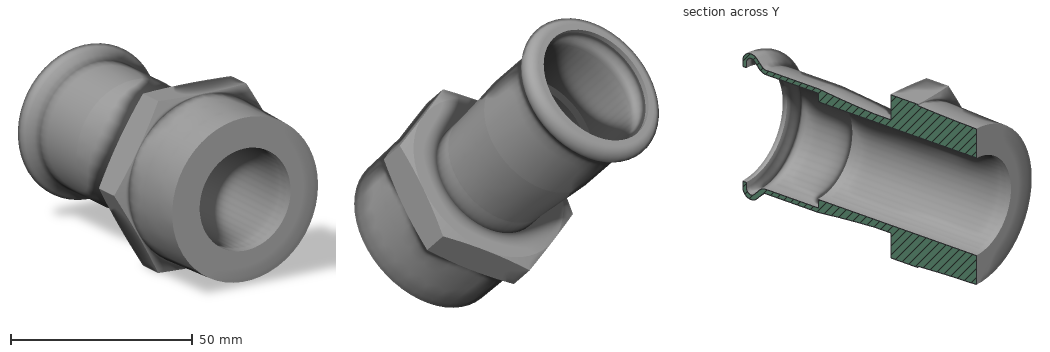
import cadquery as cq
import math

total_length = 84.0
socket_end = 27.1
neck_start = 47.1
hex_start = 53.1
hex_end = 63.0

socket_radius = 38.0 / 2
neck_radius = 34.8 / 2
bore_radius = 14.9
wall = 1.5
socket_bore_radius = socket_radius - wall
thread_root_radius = 24.6
thread_tip_radius = 23.85

rim_radius = 22.35
rim_roll_radius = 3.0
rim_bend_radius = 1.8

across_flats = 50.0
across_corners = across_flats / math.cos(math.radians(30))
chamfer_angle = 15.0

SLOPE = math.sin(math.radians(45))
HALF_SLOPE_SIN = math.sin(math.radians(22.5))
HALF_SLOPE_COS = math.cos(math.radians(22.5))

roll_x = rim_roll_radius
roll_r = rim_radius - rim_roll_radius
bend_r = socket_radius + rim_bend_radius
bend_x = roll_x + roll_r - bend_r + (rim_roll_radius + rim_bend_radius) / SLOPE


def revolve_about_x(profile):
    return profile.close().revolve(360, (0, 0, 0), (1, 0, 0))


def add_rim_curve(profile, roll_radius, bend_radius):
    """Roll over the rim from its front, slope down and bend into the socket."""
    return (
        profile
        .threePointArc(
            (roll_x - roll_radius * HALF_SLOPE_SIN, roll_r + roll_radius * HALF_SLOPE_COS),
            (roll_x + roll_radius * SLOPE, roll_r + roll_radius * SLOPE),
        )
        .lineTo(bend_x - bend_radius * SLOPE, bend_r - bend_radius * SLOPE)
        .threePointArc(
            (bend_x - bend_radius * HALF_SLOPE_SIN, bend_r - bend_radius * HALF_SLOPE_COS),
            (bend_x, bend_r - bend_radius),
        )
    )


def make_body():
    """Outside of the fitting, solid down to the axis."""
    profile = cq.Workplane("XY").lineTo(0, roll_r)
    profile = add_rim_curve(profile, rim_roll_radius, rim_bend_radius)
    profile = (
        profile
        .lineTo(socket_end, socket_radius)
        .lineTo(neck_start, neck_radius)
        .lineTo(hex_end, neck_radius)
        .lineTo(hex_end, thread_root_radius)
        .lineTo(total_length, thread_tip_radius)
        .lineTo(total_length, 0)
    )
    return revolve_about_x(profile)


def make_hexagon():
    """Hexagon with corners on Y, its corners chamfered on both faces."""
    width = hex_end - hex_start
    prism = (
        cq.Workplane("YZ", origin=(hex_start, 0, 0))
        .polygon(6, across_corners)
        .extrude(width)
    )
    face_radius = across_flats / 2
    peak_radius = face_radius + width / 2 / math.tan(math.radians(chamfer_angle))
    envelope = revolve_about_x(
        cq.Workplane("XY")
        .moveTo(hex_start, 0)
        .lineTo(hex_start, face_radius)
        .lineTo(hex_start + width / 2, peak_radius)
        .lineTo(hex_end, face_radius)
        .lineTo(hex_end, 0)
    )
    return prism.intersect(envelope)


def make_cavity():
    """Mouth, sealing ring groove, tube socket with its stop, and through bore."""
    profile = (
        cq.Workplane("XY")
        .lineTo(0, socket_bore_radius)
        .lineTo(wall, socket_bore_radius)
        .lineTo(wall, roll_r)
    )
    profile = add_rim_curve(profile, rim_roll_radius - wall, rim_bend_radius + wall)
    profile = (
        profile
        .lineTo(socket_end, socket_bore_radius)
        .lineTo(socket_end, bore_radius)
        .lineTo(total_length, bore_radius)
        .lineTo(total_length, 0)
    )
    return revolve_about_x(profile)


result = make_body().union(make_hexagon()).cut(make_cavity())